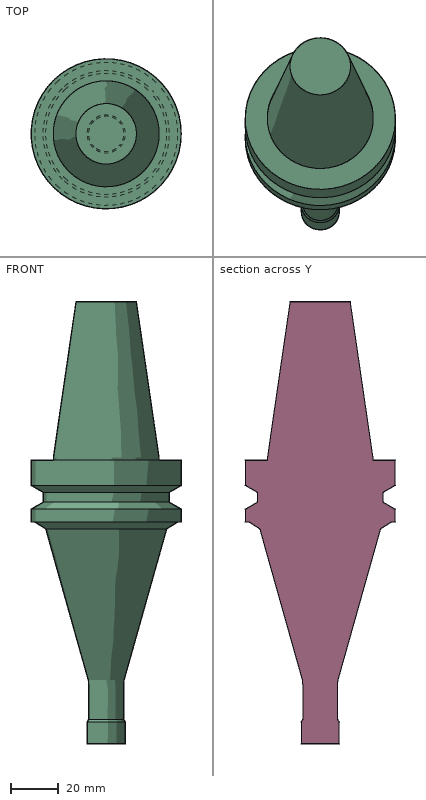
import math

import cadquery as cq


gauge_radius = 44.45 / 2
shank_length = 65.4
taper_ratio = 7 / 24
shank_top_radius = gauge_radius - shank_length * taper_ratio / 2

flange_radius = 63 / 2
flange_top_z = -1.0
flange_bottom_z = -27.0
groove_radius = 53 / 2
groove_center_z = -16.6
groove_floor_width = 4.1
groove_flank_angle = math.radians(30)
groove_flank_height = (flange_radius - groove_radius) * math.tan(groove_flank_angle)
groove_floor_top_z = groove_center_z + groove_floor_width / 2
groove_floor_bottom_z = groove_center_z - groove_floor_width / 2
groove_top_z = groove_floor_top_z + groove_flank_height
groove_bottom_z = groove_floor_bottom_z - groove_flank_height

collar_radius = 60 / 2
body_top_radius = 50.8 / 2
collar_angle = math.radians(32)
body_top_z = flange_bottom_z - (collar_radius - body_top_radius) * math.tan(collar_angle)
body_bottom_radius = 15 / 2
body_bottom_z = -93.4

neck_radius = 14.8 / 2
blend_bottom_z = -96.6
blend_height = body_bottom_z - blend_bottom_z
blend_width = body_bottom_radius - neck_radius
blend_radius = (blend_height**2 + blend_width**2) / (2 * blend_width)
blend_middle_angle = math.asin(blend_height / blend_radius) / 2
blend_middle_radius = neck_radius + blend_radius * (1 - math.cos(blend_middle_angle))
blend_middle_z = blend_bottom_z + blend_radius * math.sin(blend_middle_angle)

nose_radius = 16 / 2
nose_bottom_z = -120.0
nose_length = 9.2
nose_top_z = nose_bottom_z + nose_length
nose_shoulder_height = 1.1
neck_bottom_z = nose_top_z + nose_shoulder_height


def half_profile():
    """Closed outline in the XZ plane, from the shank top down to the nose."""
    profile = cq.Workplane("XZ").moveTo(0, shank_length)
    profile = profile.lineTo(shank_top_radius, shank_length)
    profile = profile.lineTo(gauge_radius, 0)
    profile = profile.lineTo(gauge_radius, flange_top_z)
    profile = profile.lineTo(flange_radius, flange_top_z)
    profile = profile.lineTo(flange_radius, groove_top_z)
    profile = profile.lineTo(groove_radius, groove_floor_top_z)
    profile = profile.lineTo(groove_radius, groove_floor_bottom_z)
    profile = profile.lineTo(flange_radius, groove_bottom_z)
    profile = profile.lineTo(flange_radius, flange_bottom_z)
    profile = profile.lineTo(collar_radius, flange_bottom_z)
    profile = profile.lineTo(body_top_radius, body_top_z)
    profile = profile.lineTo(body_bottom_radius, body_bottom_z)
    blend_middle = (blend_middle_radius, blend_middle_z)
    profile = profile.threePointArc(blend_middle, (neck_radius, blend_bottom_z))
    profile = profile.lineTo(neck_radius, neck_bottom_z)
    profile = profile.lineTo(nose_radius, nose_top_z)
    profile = profile.lineTo(nose_radius, nose_bottom_z)
    profile = profile.lineTo(0, nose_bottom_z)
    return profile.close()


result = half_profile().revolve(360, (0, 0), (0, 1))